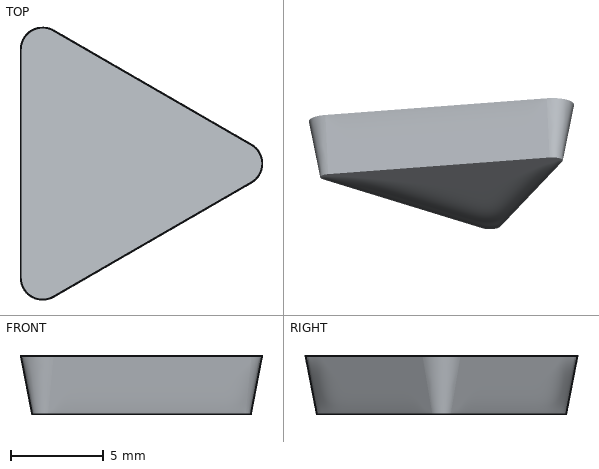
import cadquery as cq
import math

inscribed_diameter = 9.525
thickness = 3.175
nose_radius = 1.19
relief_angle = 11.0

inscribed_radius = inscribed_diameter / 2
corner_distance = 2 * inscribed_radius
corner_angles = [math.radians(angle) for angle in (0, 120, 240)]
corners = [
    (corner_distance * math.cos(angle), corner_distance * math.sin(angle))
    for angle in corner_angles
]


def rounded_triangle():
    """Top-face outline with its three noses rounded."""
    triangle = cq.Sketch().polygon(corners + corners[:1])
    return triangle.vertices().fillet(nose_radius)


def insert_body():
    """Body narrowing downward from the top face; the noses become cones."""
    top_plane = cq.Workplane("XY", origin=(0, 0, thickness))
    return top_plane.placeSketch(rounded_triangle()).extrude(-thickness, taper=relief_angle)


result = insert_body()